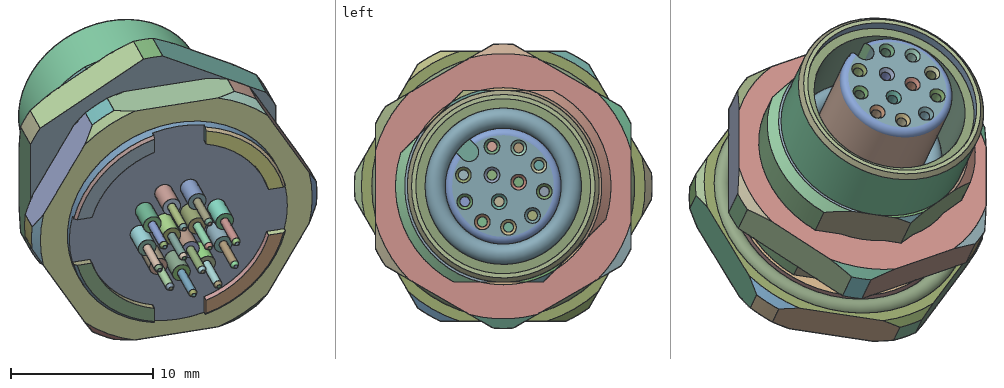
import cadquery as cq
import math


INSERT_DIA = 8.15
INSERT_NOSE_FILLET = 0.5
KEYWAY_RADIUS = 0.67
KEYWAY_CENTRE_RADIUS = 3.4
KEYWAY_ANGLE = 45.0

OUTER_CONTACT_RADIUS = 2.91
OUTER_CONTACT_COUNT = 9
OUTER_CONTACT_PITCH = 37.7
INNER_CONTACT_RADIUS = 1.12
INNER_CONTACT_COUNT = 3
SOCKET_DIA = 0.7
SOCKET_MOUTH_DIA = 1.1
SOCKET_MOUTH_DEPTH = 0.3
SOCKET_DEPTH = 5.0
PIN_DIA = 0.6
PIN_TIP_DIA = 0.3
PIN_TIP_LENGTH = 0.3
PIN_END_X = 23.6
PIN_COLLAR_DIA = 1.3
PIN_COLLAR_END_X = 20.5

SHELL_DIA = 13.5
SHELL_FRONT_X = 1.5
SHELL_CHAMFER = 0.3
MOUTH_DIA = 12.3
MOUTH_DEPTH = 0.7
CAVITY_DIA = 11.0
CAVITY_FLOOR_X = 8.5

THREAD_DIA = 15.16
THREAD_CORE_DIA = 13.86
THREAD_START_X = 6.5
FLAT_ANGLES = (45.0, 90.0, 225.0, 270.0)
FLAT_DISTANCE = SHELL_DIA / 2

FLANGE_FRONT_X = 15.3
FLANGE_BACK_X = 18.0
FLANGE_ACROSS_FLATS = 19.0
FLANGE_CORNER_DIA = 20.95
FLANGE_CHAMFER = 0.5
RIM_DIA = 16.0
RIM_INNER_DIA = 13.5
RIM_FLOOR_X = 18.5
RIM_END_X = 19.0
RIM_CHAMFER = 0.2
RIM_SLOT_WIDTH = 3.78

SEAL_SECTION_RADIUS = 0.63
SEAL_OUTER_DIA = 18.5
SEAL_FRONT_X = 15.0
SEAL_CENTRE_RADIUS = SEAL_OUTER_DIA / 2 - SEAL_SECTION_RADIUS
GROOVE_INNER_DIA = 15.6
GROOVE_FLOOR_X = SEAL_FRONT_X + 2 * SEAL_SECTION_RADIUS

NUT_FRONT_X = 9.47
NUT_BACK_X = 12.31
NUT_ACROSS_FLATS = 18.0
NUT_CORNER_DIA = 20.02
NUT_FACE_DIA = 18.66
NUT_CHAMFER_LENGTH = 0.38


def revolve_about_x(points):
    """Solid of revolution about X from (x, radius) corner points."""
    return cq.Workplane("XY").polyline(points).close().revolve(360, (0, 0, 0), (1, 0, 0))


def cylinder(diameter, start_x, end_x, y=0.0, z=0.0):
    """Cylinder along X between two stations."""
    base = cq.Workplane("YZ", origin=(start_x, y, z))
    return base.circle(diameter / 2).extrude(end_x - start_x)


def hexagon(across_flats, start_x, end_x, corner_angle):
    """Hexagonal prism along X with a corner at corner_angle from +Y."""
    corner_to_corner = across_flats / math.cos(math.radians(30))
    prism = cq.Workplane("YZ").polygon(6, corner_to_corner).extrude(end_x - start_x)
    return prism.rotate((0, 0, 0), (1, 0, 0), corner_angle).translate((start_x, 0, 0))


def ring_positions(radius, count, pitch, middle_angle):
    """(y, z) places on a circle, spaced evenly to both sides of middle_angle."""
    places = []
    for i in range(count):
        angle = math.radians(middle_angle + (i - (count - 1) / 2) * pitch)
        places.append((radius * math.cos(angle), radius * math.sin(angle)))
    return places


def contact_positions():
    opposite_keyway = KEYWAY_ANGLE + 180
    outer = ring_positions(OUTER_CONTACT_RADIUS, OUTER_CONTACT_COUNT, OUTER_CONTACT_PITCH, opposite_keyway)
    inner_pitch = 360 / INNER_CONTACT_COUNT
    inner = ring_positions(INNER_CONTACT_RADIUS, INNER_CONTACT_COUNT, inner_pitch, KEYWAY_ANGLE)
    return outer + inner


def make_shell():
    """Round front shell with its stepped cavity."""
    shell = cylinder(SHELL_DIA, SHELL_FRONT_X, FLANGE_FRONT_X).faces("<X").chamfer(SHELL_CHAMFER)
    mouth = cylinder(MOUTH_DIA, SHELL_FRONT_X, SHELL_FRONT_X + MOUTH_DEPTH)
    cavity = cylinder(CAVITY_DIA, SHELL_FRONT_X, CAVITY_FLOOR_X)
    return shell.cut(mouth).cut(cavity)


def make_thread():
    """Threaded length with four flats, hollowed by the cavity."""
    chamfer = (THREAD_DIA - THREAD_CORE_DIA) / 2
    thread = cylinder(THREAD_DIA, THREAD_START_X, FLANGE_BACK_X).faces("<X").chamfer(chamfer)
    length = FLANGE_FRONT_X - THREAD_START_X
    for angle in FLAT_ANGLES:
        block = cq.Workplane("XY").box(length, THREAD_DIA, THREAD_DIA, centered=(False, False, True))
        block = block.translate((THREAD_START_X, FLAT_DISTANCE, 0))
        thread = thread.cut(block.rotate((0, 0, 0), (1, 0, 0), angle))
    return thread.cut(cylinder(CAVITY_DIA, THREAD_START_X, CAVITY_FLOOR_X))


def make_flange():
    """Hexagon with chamfered corners, and the seal groove in its front face."""
    envelope = cylinder(FLANGE_CORNER_DIA, FLANGE_FRONT_X, FLANGE_BACK_X)
    envelope = envelope.faces("<X or >X").chamfer(FLANGE_CHAMFER)
    flange = hexagon(FLANGE_ACROSS_FLATS, FLANGE_FRONT_X, FLANGE_BACK_X, 0).intersect(envelope)
    groove = cylinder(SEAL_OUTER_DIA, FLANGE_FRONT_X, GROOVE_FLOOR_X)
    return flange.cut(groove.cut(cylinder(GROOVE_INNER_DIA, FLANGE_FRONT_X, GROOVE_FLOOR_X)))


def make_rim():
    """Round rear rim, recessed inside and cut by two crossing slots."""
    rim = cylinder(RIM_DIA, FLANGE_BACK_X, RIM_END_X).faces(">X").chamfer(RIM_CHAMFER)
    rim = rim.cut(cylinder(RIM_INNER_DIA, RIM_FLOOR_X, RIM_END_X))
    height = RIM_END_X - RIM_FLOOR_X
    slot = cq.Workplane("XY", origin=(RIM_FLOOR_X, 0, 0))
    slot = slot.box(height, RIM_DIA, RIM_SLOT_WIDTH, centered=(False, True, True))
    return rim.cut(slot).cut(slot.rotate((0, 0, 0), (1, 0, 0), 90))


def make_insert():
    """Round insert with a rounded nose, an open keyway and the contact sockets."""
    insert = cylinder(INSERT_DIA, 0, CAVITY_FLOOR_X).faces("<X").fillet(INSERT_NOSE_FILLET)
    keyway = cylinder(2 * KEYWAY_RADIUS, 0, CAVITY_FLOOR_X, KEYWAY_CENTRE_RADIUS)
    opening = cq.Workplane("XY", origin=(0, KEYWAY_CENTRE_RADIUS, 0)).box(
        CAVITY_FLOOR_X, INSERT_DIA, 2 * KEYWAY_RADIUS, centered=(False, False, True)
    )
    insert = insert.cut(keyway.union(opening).rotate((0, 0, 0), (1, 0, 0), KEYWAY_ANGLE))
    socket = revolve_about_x([
        (0, 0),
        (0, SOCKET_MOUTH_DIA / 2),
        (SOCKET_MOUTH_DEPTH, SOCKET_DIA / 2),
        (SOCKET_DEPTH, SOCKET_DIA / 2),
        (SOCKET_DEPTH, 0),
    ])
    for y, z in contact_positions():
        insert = insert.cut(socket.translate((0, y, z)))
    return insert


def make_cavity_ring():
    """Half-round sealing ring on the cavity floor, filling the gap around the insert."""
    section_radius = (CAVITY_DIA - INSERT_DIA) / 4
    inner = INSERT_DIA / 2
    outer = CAVITY_DIA / 2
    profile = (
        cq.Workplane("XY")
        .moveTo(CAVITY_FLOOR_X, inner)
        .threePointArc((CAVITY_FLOOR_X - section_radius, inner + section_radius), (CAVITY_FLOOR_X, outer))
        .close()
    )
    return profile.revolve(360, (0, 0, 0), (1, 0, 0))


def make_pin():
    """Solder pin on its collar, with a tapered tip."""
    tip_start_x = PIN_END_X - PIN_TIP_LENGTH
    return revolve_about_x([
        (RIM_FLOOR_X, 0),
        (RIM_FLOOR_X, PIN_COLLAR_DIA / 2),
        (PIN_COLLAR_END_X, PIN_COLLAR_DIA / 2),
        (PIN_COLLAR_END_X, PIN_DIA / 2),
        (tip_start_x, PIN_DIA / 2),
        (PIN_END_X, PIN_TIP_DIA / 2),
        (PIN_END_X, 0),
    ])


def make_connector():
    """Shell, thread, flange, rim, insert and pins as one body."""
    connector = make_shell().union(make_thread()).union(make_flange()).union(make_rim())
    connector = connector.union(make_insert()).union(make_cavity_ring())
    pin = make_pin()
    for y, z in contact_positions():
        connector = connector.union(pin.translate((0, y, z)))
    return connector


def make_nut():
    """Hexagon nut chamfered at the front; its bore clears the flats of the thread."""
    corner_radius = NUT_CORNER_DIA / 2
    envelope = revolve_about_x([
        (NUT_FRONT_X, 0),
        (NUT_FRONT_X, NUT_FACE_DIA / 2),
        (NUT_FRONT_X + NUT_CHAMFER_LENGTH, corner_radius),
        (NUT_BACK_X, corner_radius),
        (NUT_BACK_X, 0),
    ])
    nut = hexagon(NUT_ACROSS_FLATS, NUT_FRONT_X, NUT_BACK_X, 90).intersect(envelope)
    return nut.cut(cylinder(THREAD_CORE_DIA, NUT_FRONT_X, NUT_BACK_X)).cut(make_thread())


def make_flange_seal():
    """O-ring in the flange groove, standing slightly proud of the flange."""
    centre_x = SEAL_FRONT_X + SEAL_SECTION_RADIUS
    section = cq.Workplane("XY").center(centre_x, SEAL_CENTRE_RADIUS).circle(SEAL_SECTION_RADIUS)
    return section.revolve(360, (0, -SEAL_CENTRE_RADIUS, 0), (1, -SEAL_CENTRE_RADIUS, 0))


connector = make_connector()
nut = make_nut()
flange_seal = make_flange_seal()

result = cq.Compound.makeCompound([
    connector.solids().val(),
    nut.solids().val(),
    flange_seal.val(),
])